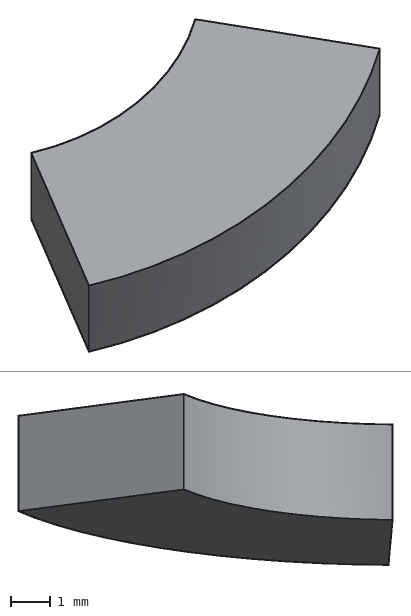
import cadquery as cq
import math

outer_radius = 11
inner_radius = 6.2
thickness = 2.5
half_angle = 30


def ring_point(radius, angle):
    """Point at the given radius and angle in degrees from the X axis."""
    radians = math.radians(angle)
    return (radius * math.cos(radians), radius * math.sin(radians))


result = (
    cq.Workplane("XY")
    .moveTo(*ring_point(inner_radius, -half_angle))
    .lineTo(*ring_point(outer_radius, -half_angle))
    .threePointArc(ring_point(outer_radius, 0), ring_point(outer_radius, half_angle))
    .lineTo(*ring_point(inner_radius, half_angle))
    .threePointArc(ring_point(inner_radius, 0), ring_point(inner_radius, -half_angle))
    .close()
    .extrude(thickness)
)